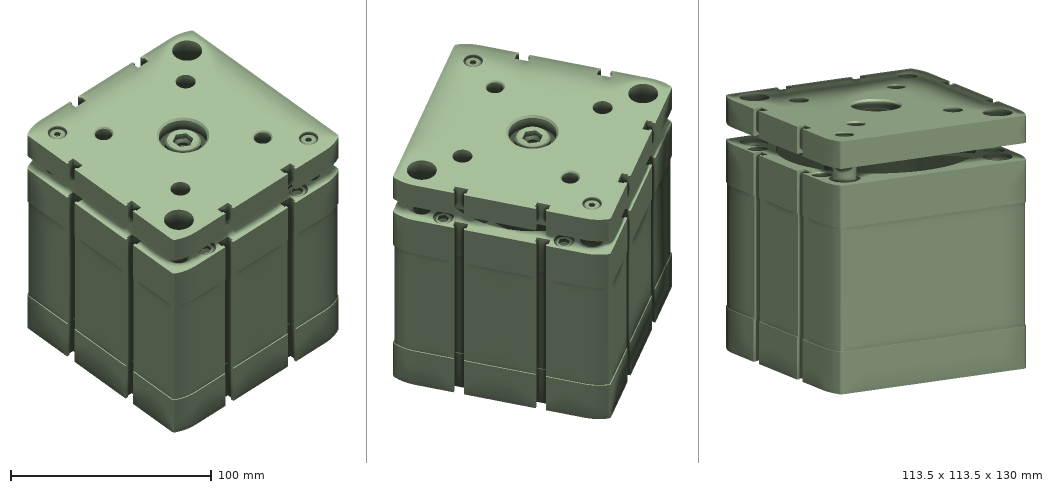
import cadquery as cq
import math

SIDE = 113.5
HALF = SIDE / 2
CORNER_ARC_START = 44.3
CORNER_ARC_RADIUS = 25.0
CORNER_FILLET = 2.0

HEIGHT = 130.0
PLATE_THICKNESS = 14.0
STROKE_GAP = 8.7
CAP_HEIGHT = 21.8
BARREL_INSET = 0.5
PLATE_BOTTOM = HEIGHT - PLATE_THICKNESS
HOUSING_TOP = PLATE_BOTTOM - STROKE_GAP
BARREL_TOP = HOUSING_TOP - CAP_HEIGHT

SLOT_FACE_ANGLES = (0, 180, 270)
SLOT_OFFSET = 21.38
SLOT_MOUTH_WIDTH = 5.3
SLOT_GROOVE_WIDTH = 7.0
SLOT_DEPTH = 5.0
SLOT_LIP = 1.5

CORNER_OFFSET = 44.3
GUIDE_ROD_DIAMETER = 12.0
PISTON_ROD_DIAMETER = 20.0
ROD_BOTTOM = BARREL_TOP
WRENCH_WIDTH = 17.0
WRENCH_CLEARANCE = 0.8

BORE_DIAMETER = 24.0
BORE_CHAMFER = 1.0
BORE_DEPTH = 7.2
NOSE_DIAMETER = 18.0
NOSE_HEIGHT = 3.9
NOSE_CHAMFER = 1.0
SOCKET_CORNERS = 10.7
SOCKET_DEPTH = 3.2
DRILL_DIAMETER = 6.0
DRILL_DEPTH = 2.0
DRILL_POINT_ANGLE = 118.0

PLATE_HOLE_OFFSET = 28.1
DOWEL_HOLE_DIAMETER = 10.0
THREAD_HOLE_DIAMETER = 8.6
THREAD_HOLE_RIM = 10.0
ACCESS_HOLE_DIAMETER = 15.0

ROD_SCREW_RECESS = 9.5
ROD_SCREW_RIM = 10.0
ROD_SCREW_HEAD = 8.3
ROD_SCREW_SOCKET = 3.6

GUIDE_RECESS_DIAMETER = 15.9
GUIDE_RECESS_DEPTH = 0.8
MOUNT_HOLE_DIAMETER = 8.5
MOUNT_HOLE_RIM = 10.0
MOUNT_RECESS_DIAMETER = 15.0
MOUNT_RECESS_DEPTH = 2.0
CAP_CAVITY_DIAMETER = 100.0
HUB_DIAMETER = 51.2
WEB_THICKNESS = 8.6

COVER_SCREW_X = 50.0
COVER_SCREW_Y = 31.5
COVER_SCREW_RECESS = 10.0
COVER_SCREW_RIM = 10.7
COVER_SCREW_HEAD = 8.3
COVER_SCREW_SOCKET = 6.0

SCREW_HEAD_DEPTH = 1.2
SCREW_GAP_DEPTH = 2.1
SCREW_SOCKET_DEPTH = 3.2
SCREW_HEAD_CHAMFER = 0.5


def cylinder(diameter, bottom, top, x=0.0, y=0.0):
    return cq.Workplane("XY", origin=(x, y, bottom)).circle(diameter / 2).extrude(top - bottom)


def cone(bottom_diameter, top_diameter, bottom, top, x=0.0, y=0.0):
    base = cq.Vector(x, y, bottom)
    return cq.Workplane(cq.Solid.makeCone(bottom_diameter / 2, top_diameter / 2, top - bottom, base))


def hexagon(corners, bottom, top, x=0.0, y=0.0):
    return cq.Workplane("XY", origin=(x, y, bottom)).polygon(6, corners).extrude(top - bottom)


def chamfered_hole(diameter, rim_diameter, bottom, top, x=0.0, y=0.0):
    """Cutter for a hole whose upper rim has a 45 degree chamfer."""
    chamfer = (rim_diameter - diameter) / 2
    return cylinder(diameter, bottom, top, x, y).union(
        cone(diameter, rim_diameter, top - chamfer, top, x, y))


def sunk_screw(recess, rim, head, socket, top, x, y):
    """Cutter that leaves a socket screw head standing in a chamfered recess."""
    head_top = top - SCREW_HEAD_DEPTH
    gap_bottom = top - SCREW_GAP_DEPTH
    cutter = chamfered_hole(recess, rim, gap_bottom, top, x, y)
    screw_head = cylinder(head, gap_bottom, head_top, x, y).faces(">Z").chamfer(SCREW_HEAD_CHAMFER)
    cutter = cutter.cut(screw_head)
    return cutter.union(hexagon(socket, top - SCREW_SOCKET_DEPTH, top, x, y))


def slot_cutter(bottom, top, depth):
    """All T-slots between two heights, with the groove floor at the given depth."""
    height = top - bottom
    floor_x = HALF - depth
    cutter = cq.Workplane("XY")
    for angle in SLOT_FACE_ANGLES:
        for offset in (-SLOT_OFFSET, SLOT_OFFSET):
            corner = cq.Workplane("XY", origin=(floor_x, offset, bottom))
            mouth = corner.box(depth, SLOT_MOUTH_WIDTH, height, centered=(False, True, False))
            groove = corner.box(depth - SLOT_LIP, SLOT_GROOVE_WIDTH, height, centered=(False, True, False))
            cutter = cutter.add(mouth.union(groove).rotate((0, 0, 0), (0, 0, 1), angle))
    return cutter.combine()


def slotted_block(bottom, top, inset=0.0):
    """Square block whose X sides curve in towards small corner fillets, with its T-slots.

    All outer faces and slot floors lie deeper by the inset.
    """
    half = HALF - inset
    radius = CORNER_ARC_RADIUS - inset

    def arc_x(rise):
        return half - radius + math.sqrt(radius**2 - rise**2)

    full_rise = half - CORNER_ARC_START
    start = (half, CORNER_ARC_START)
    middle = (arc_x(full_rise / 2), CORNER_ARC_START + full_rise / 2)
    end = (arc_x(full_rise), half)
    quarter = (
        cq.Workplane("XY", origin=(0, 0, bottom))
        .lineTo(half, 0)
        .lineTo(*start)
        .threePointArc(middle, end)
        .lineTo(0, half)
        .close()
        .extrude(top - bottom)
    )
    half_block = quarter.union(quarter.mirror("YZ"))
    block = half_block.union(half_block.mirror("XZ")).clean()
    corner_edges = block.edges("|Z").filter(lambda edge: abs(edge.Center().y) > half - CORNER_FILLET)
    block = corner_edges.fillet(CORNER_FILLET - inset)
    return block.cut(slot_cutter(bottom, top, SLOT_DEPTH + inset))


def piston_rod():
    """Piston rod below the plate, with two wrench flats that slope out at their lower end."""
    rod = cylinder(PISTON_ROD_DIAMETER, ROD_BOTTOM, PLATE_BOTTOM)
    radius = PISTON_ROD_DIAMETER / 2
    flat_y = WRENCH_WIDTH / 2
    slope_bottom = HOUSING_TOP + WRENCH_CLEARANCE
    slope_top = slope_bottom + radius - flat_y
    flat = (
        cq.Workplane("YZ")
        .polyline([(flat_y, PLATE_BOTTOM), (flat_y, slope_top), (radius, slope_bottom), (radius, PLATE_BOTTOM)])
        .close()
        .extrude(radius, both=True)
    )
    return rod.cut(flat).cut(flat.mirror("XZ"))


def add_rod_nose(body):
    """Centre bore of the plate and the drilled nose of the piston rod inside it."""
    bore_floor = HEIGHT - BORE_DEPTH
    bore_rim = BORE_DIAMETER + 2 * BORE_CHAMFER
    body = body.cut(chamfered_hole(BORE_DIAMETER, bore_rim, bore_floor, HEIGHT))
    nose_top = bore_floor + NOSE_HEIGHT
    nose = cylinder(NOSE_DIAMETER, bore_floor, nose_top).faces(">Z").chamfer(NOSE_CHAMFER)
    body = body.union(nose)

    cone_slope = 1 / math.tan(math.radians(DRILL_POINT_ANGLE / 2))
    across_flats = SOCKET_CORNERS * math.cos(math.radians(30))
    socket_bottom = nose_top - SOCKET_DEPTH
    drill_top = socket_bottom - (across_flats - DRILL_DIAMETER) / 2 * cone_slope
    drill_bottom = drill_top - DRILL_DEPTH
    drill_tip = drill_bottom - DRILL_DIAMETER / 2 * cone_slope
    body = body.cut(hexagon(SOCKET_CORNERS, socket_bottom, nose_top))
    body = body.cut(cone(DRILL_DIAMETER, across_flats, drill_top, socket_bottom))
    body = body.cut(cylinder(DRILL_DIAMETER, drill_bottom, drill_top))
    return body.cut(cone(0, DRILL_DIAMETER, drill_tip, drill_bottom))


def moving_unit():
    """Plate with the piston rod and two guide rods fixed to it."""
    body = slotted_block(PLATE_BOTTOM, HEIGHT).union(piston_rod())
    body = add_rod_nose(body)
    for side in (-1, 1):
        hole = side * PLATE_HOLE_OFFSET
        corner = side * CORNER_OFFSET
        body = body.cut(cylinder(DOWEL_HOLE_DIAMETER, PLATE_BOTTOM, HEIGHT, hole, -hole))
        body = body.cut(chamfered_hole(
            THREAD_HOLE_DIAMETER, THREAD_HOLE_RIM, PLATE_BOTTOM, HEIGHT, hole, hole))
        body = body.cut(cylinder(ACCESS_HOLE_DIAMETER, PLATE_BOTTOM, HEIGHT, corner, -corner))
        body = body.union(cylinder(GUIDE_ROD_DIAMETER, ROD_BOTTOM, PLATE_BOTTOM, corner, corner))
        body = body.cut(sunk_screw(
            ROD_SCREW_RECESS, ROD_SCREW_RIM, ROD_SCREW_HEAD, ROD_SCREW_SOCKET, HEIGHT, corner, corner))
    return body


def cap_cavity():
    """Cutter for the round cavity of the upper end cap, around its hub and diagonal web."""
    cavity = cylinder(CAP_CAVITY_DIAMETER, BARREL_TOP, HOUSING_TOP)
    web = (
        cq.Workplane("XY", origin=(0, 0, BARREL_TOP))
        .rect(CAP_CAVITY_DIAMETER, WEB_THICKNESS)
        .extrude(CAP_HEIGHT)
        .rotate((0, 0, 0), (0, 0, 1), -45)
    )
    return cavity.cut(cylinder(HUB_DIAMETER, BARREL_TOP, HOUSING_TOP)).cut(web)


def cylinder_housing():
    """Barrel between two end caps, with rod bores, mounting holes and cover screws."""
    body = slotted_block(0, CAP_HEIGHT)
    body = body.union(slotted_block(CAP_HEIGHT, BARREL_TOP, BARREL_INSET))
    body = body.union(slotted_block(BARREL_TOP, HOUSING_TOP))
    body = body.cut(cap_cavity())
    body = body.cut(cylinder(PISTON_ROD_DIAMETER, ROD_BOTTOM, HOUSING_TOP))
    guide_floor = HOUSING_TOP - GUIDE_RECESS_DEPTH
    mount_floor = HOUSING_TOP - MOUNT_RECESS_DEPTH
    for side in (-1, 1):
        corner = side * CORNER_OFFSET
        body = body.cut(cylinder(GUIDE_ROD_DIAMETER, ROD_BOTTOM, HOUSING_TOP, corner, corner))
        body = body.cut(cylinder(GUIDE_RECESS_DIAMETER, guide_floor, HOUSING_TOP, corner, corner))
        body = body.cut(cylinder(MOUNT_RECESS_DIAMETER, mount_floor, HOUSING_TOP, corner, -corner))
        body = body.cut(chamfered_hole(
            MOUNT_HOLE_DIAMETER, MOUNT_HOLE_RIM, 0, mount_floor, corner, -corner))
    for x in (-COVER_SCREW_X, COVER_SCREW_X):
        for y in (-COVER_SCREW_Y, COVER_SCREW_Y):
            body = body.cut(sunk_screw(
                COVER_SCREW_RECESS, COVER_SCREW_RIM, COVER_SCREW_HEAD, COVER_SCREW_SOCKET, HOUSING_TOP, x, y))
    return body


moving = moving_unit()
housing = cylinder_housing()

result = cq.Compound.makeCompound([moving.val(), housing.val()])